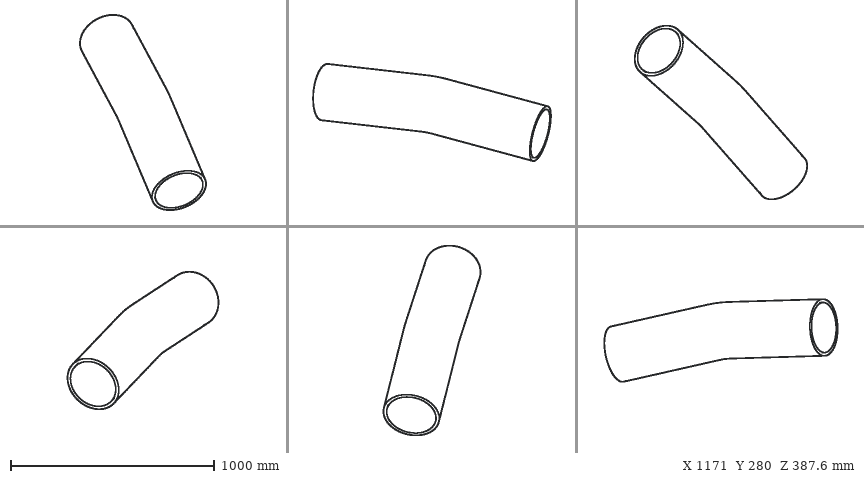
import cadquery as cq
import math

OUTER_DIAMETER = 280.0
INNER_DIAMETER = 246.8
BEND_ANGLE = 11.0
BEND_RADIUS = 1.5 * OUTER_DIAMETER
LEG_LENGTH = 537.0

angle = math.radians(BEND_ANGLE)
half_angle = angle / 2


def point_on_bend(turn):
    """Centreline point after turning through the given angle (radians)."""
    return (
        LEG_LENGTH + BEND_RADIUS * math.sin(turn),
        -BEND_RADIUS * (1 - math.cos(turn)),
    )


def centreline():
    """Straight leg, tangent elbow arc, then the sloping straight leg."""
    bend_start = point_on_bend(0)
    bend_middle = point_on_bend(half_angle)
    bend_end = point_on_bend(angle)
    leg_end = (
        bend_end[0] + LEG_LENGTH * math.cos(angle),
        bend_end[1] - LEG_LENGTH * math.sin(angle),
    )
    return (
        cq.Workplane("XZ")
        .moveTo(0, 0)
        .lineTo(*bend_start)
        .threePointArc(bend_middle, bend_end)
        .lineTo(*leg_end)
    )


def bent_pipe():
    """Ring section swept along the centreline, leaving both ends open."""
    ring = cq.Workplane("YZ").circle(OUTER_DIAMETER / 2).circle(INNER_DIAMETER / 2)
    return ring.sweep(centreline())


result = bent_pipe()